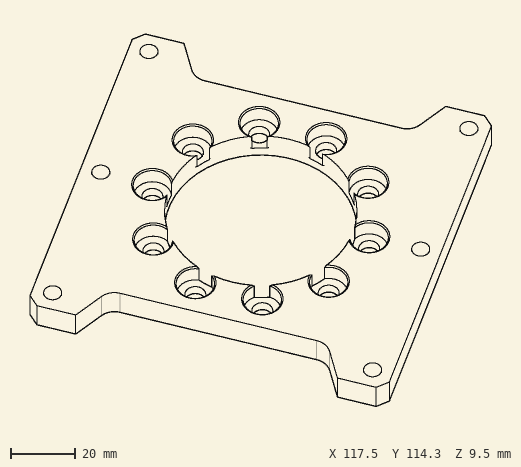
import cadquery as cq
import math

length = 117.5
width = 114.3
thickness = 9.5
corner_chamfer = 3.3

ear_length = 16.0
recess_depth = 12.5
flank_angle = 60.0
recess_fillet = 6.0

mount_diameter = 5.6
mount_x = 52.3
mount_y = 50.7

bore_diameter = 60.0
bolt_count = 10
bolt_circle_diameter = 70.8
bolt_diameter = 6.6
counterbore_diameter = 12.0
counterbore_depth = 6.0
counterbore_chamfer = 0.5


def edge_recess():
    """Cutter for the recess in the +Y edge, with its inner corners rounded."""
    half_mouth = length / 2 - ear_length
    half_floor = half_mouth - recess_depth / math.tan(math.radians(flank_angle))
    floor_y = width / 2 - recess_depth
    outline = [
        (-half_mouth, width / 2),
        (-half_floor, floor_y),
        (half_floor, floor_y),
        (half_mouth, width / 2),
    ]
    cutter = cq.Workplane("XY").polyline(outline).close().extrude(thickness)
    return cutter.edges("|Z and <Y").fillet(recess_fillet)


def bolt_hole():
    """Cutter for one through hole with a chamfered counterbore in the top face."""
    bolt_radius = bolt_diameter / 2
    seat_radius = counterbore_diameter / 2
    seat_z = thickness - counterbore_depth
    profile = [
        (0, 0),
        (bolt_radius, 0),
        (bolt_radius, seat_z),
        (seat_radius, seat_z),
        (seat_radius, thickness - counterbore_chamfer),
        (seat_radius + counterbore_chamfer, thickness),
        (0, thickness),
    ]
    return cq.Workplane("XZ").polyline(profile).close().revolve(360, (0, 0), (0, 1))


plate = cq.Workplane("XY").box(length, width, thickness, centered=(True, True, False))
plate = plate.edges("|Z").chamfer(corner_chamfer)

recess = edge_recess()
plate = plate.cut(recess).cut(recess.mirror("XZ"))

mount_points = [(x, y) for x in (-mount_x, mount_x) for y in (-mount_y, 0, mount_y)]
plate = plate.cut(
    cq.Workplane("XY").pushPoints(mount_points).circle(mount_diameter / 2).extrude(thickness)
)

plate = plate.cut(cq.Workplane("XY").circle(bore_diameter / 2).extrude(thickness))

first_bolt = bolt_hole().translate((bolt_circle_diameter / 2, 0, 0))
for index in range(bolt_count):
    angle = index * 360 / bolt_count
    plate = plate.cut(first_bolt.rotate((0, 0, 0), (0, 0, 1), angle))

result = plate